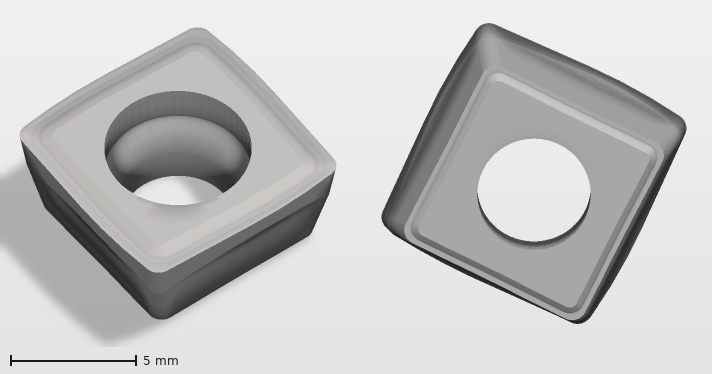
import cadquery as cq
import math


total_height = 4.52
edge_z = 4.39
groove_z = 4.36
waist_z = 2.89
foot_z = 0.28

half_width = 4.85
arc_start = 0.17
edge_arc_radius = 24.25
upper_corner = 0.6
upper_draft = math.radians(7)

groove_arc_radius = 28.13
land_inset, land_corner = 0.12, 0.58
groove_outer_inset, groove_outer_corner = 0.31, 1.07
groove_inner_inset, groove_inner_corner = 0.57, 0.82
top_face_inset, top_face_corner = 1.11, 0.29

lower_turn = 2.4
waist_half_width = 4.51
lower_draft = math.radians(11)
lower_corner = 0.58
foot_ledge = 0.21

relief_half_length = 2.62
relief_floor_half_length = 1.61
relief_depth = 0.02

flare_radius = 1.75
flare_end = math.radians(55)
flare_steps = 4

bore_radius = 2.26
counterbore_radius = 2.94
counterbore_z = 2.95
seat_bottom_z = 1.52

pick_tolerance = 0.001

lower_half_width = waist_half_width - (waist_z - foot_z) * math.tan(lower_draft)


def four_sided(side, corner, radius):
    """Closed outline of one side repeated about Z with its four corners rounded."""
    axis = (cq.Vector(0, 0, 0), cq.Vector(0, 0, 1))
    edges = [edge.rotate(*axis, 90 * turn) for turn in range(4) for edge in side]
    wire = cq.Wire.assembleEdges(edges)
    corner_distance = math.hypot(corner.x, corner.y)

    def is_corner(vertex):
        return abs(math.hypot(vertex.X, vertex.Y) - corner_distance) < pick_tolerance

    corners = [vertex for vertex in wire.Vertices() if is_corner(vertex)]
    return wire.fillet2D(radius, corners)


def bowed_square(inset, arc_radius, radius, z):
    """Upper outline: each side runs straight, then bows inward along an arc."""
    half = half_width - inset

    def arc_point(x):
        drop = arc_radius - math.sqrt(arc_radius**2 - (x + arc_start) ** 2)
        return cq.Vector(x, half - drop, z)

    corner = arc_point(-half)
    start = cq.Vector(corner.y, half, z)
    tangent = arc_point(-arc_start)
    middle = arc_point(-(half + arc_start) / 2)
    side = [
        cq.Edge.makeLine(start, tangent),
        cq.Edge.makeThreePointArc(tangent, middle, corner),
    ]
    return four_sided(side, corner, radius)


def relieved_square(half, radius, z):
    """Lower outline: a square whose sides dip smoothly inward along their middle."""
    floor_radius = (relief_half_length * relief_floor_half_length) / (2 * relief_depth)
    blend_length = relief_half_length - relief_floor_half_length
    blend_radius = floor_radius * blend_length / relief_floor_half_length
    blend_middle = relief_half_length - blend_length / 2
    blend_depth = blend_length**2 / (2 * blend_radius)
    blend_middle_depth = blend_depth / 4

    def point(x, depth):
        return cq.Vector(x, half - depth, z)

    def dip(x_start, depth_start, x_middle, depth_middle, x_end, depth_end):
        return cq.Edge.makeThreePointArc(
            point(x_start, depth_start), point(x_middle, depth_middle), point(x_end, depth_end)
        )

    corner = point(-half, 0)
    outer, inner = relief_half_length, relief_floor_half_length
    side = [
        cq.Edge.makeLine(point(half, 0), point(outer, 0)),
        dip(outer, 0, blend_middle, blend_middle_depth, inner, blend_depth),
        dip(inner, blend_depth, 0, relief_depth, -inner, blend_depth),
        dip(-inner, blend_depth, -blend_middle, blend_middle_depth, -outer, 0),
        cq.Edge.makeLine(point(-outer, 0), corner),
    ]
    return four_sided(side, corner, radius)


def loft(outlines, ruled=True):
    return cq.Workplane(cq.Solid.makeLoft(outlines, ruled))


def upper_body():
    bottom_inset = (edge_z - foot_z) * math.tan(upper_draft)
    return loft([
        bowed_square(bottom_inset, edge_arc_radius, upper_corner, foot_z),
        bowed_square(0, edge_arc_radius, upper_corner, edge_z),
    ])


def lower_body():
    return loft([
        relieved_square(lower_half_width, lower_corner, foot_z),
        relieved_square(waist_half_width, lower_corner, waist_z),
    ])


def flare():
    """Block above the waist whose sides curve outward past the cutting edge."""
    center_x = waist_half_width + flare_radius * math.cos(lower_draft)
    center_z = waist_z - flare_radius * math.sin(lower_draft)

    def outline(angle):
        half = center_x - flare_radius * math.cos(angle)
        return relieved_square(half, lower_corner, center_z + flare_radius * math.sin(angle))

    angle_step = (flare_end - lower_draft) / flare_steps
    outlines = [outline(lower_draft + step * angle_step) for step in range(flare_steps + 1)]
    curved = loft(outlines, ruled=False)
    straight_height = edge_z - center_z - flare_radius * math.sin(flare_end)
    return curved.faces(">Z").wires().toPending().extrude(straight_height)


def foot():
    """45 degree bevelled foot, set in from the lower body by a narrow ledge."""
    half = lower_half_width - foot_ledge
    return loft([
        relieved_square(half - foot_z, lower_corner - foot_z, 0),
        relieved_square(half, lower_corner, foot_z),
    ])


def chip_groove():
    """Shallow pocket inside the edge land, with sloping outer walls."""
    return loft([
        bowed_square(groove_outer_inset, groove_arc_radius, groove_outer_corner, groove_z),
        bowed_square(land_inset, edge_arc_radius, land_corner, edge_z),
    ])


def raised_center():
    """Sloping rise from the groove floor to the flat top face."""
    return loft([
        bowed_square(groove_inner_inset, groove_arc_radius, groove_inner_corner, groove_z),
        bowed_square(top_face_inset, groove_arc_radius, top_face_corner, total_height),
    ])


def screw_hole():
    """Bore and counterbore joined by a convex seat tangent to the bore."""
    seat_width = counterbore_radius - bore_radius
    seat_height = counterbore_z - seat_bottom_z
    seat_radius = (seat_width**2 + seat_height**2) / (2 * seat_width)
    middle_angle = math.asin(seat_height / seat_radius) / 2
    middle = (
        bore_radius + seat_radius * (1 - math.cos(middle_angle)),
        seat_bottom_z + seat_radius * math.sin(middle_angle),
    )
    return (
        cq.Workplane("XZ")
        .lineTo(bore_radius, 0)
        .lineTo(bore_radius, seat_bottom_z)
        .threePointArc(middle, (counterbore_radius, counterbore_z))
        .lineTo(counterbore_radius, total_height)
        .lineTo(0, total_height)
        .close()
        .revolve(360, (0, 0, 0), (0, 1, 0))
    )


turn_axis = ((0, 0, 0), (0, 0, 1))
turned_lower = lower_body().union(flare()).rotate(*turn_axis, lower_turn)
turned_foot = foot().rotate(*turn_axis, lower_turn)

body = upper_body().intersect(turned_lower).union(turned_foot)
result = body.cut(chip_groove()).union(raised_center()).cut(screw_hole())